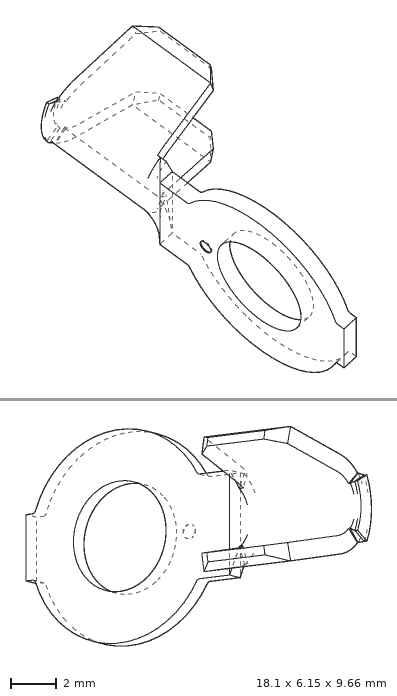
import cadquery as cq
import math


sheet = 0.83
length = 18.08

ring_radius = 4.83
hole_radius = 2.5
right_end = 5.06
left_end = right_end - length
tab_half_width = 1.5
corner_fillet = 0.18

neck_half_width = 2.37
neck_start = -5.93
pip_x = -3.2
pip_radius = 0.33
pip_depth = 0.05

bend_radius = 2.31
arm_angle = math.radians(13)
barrel_height = 6.15
coin_length = 0.78
coined_thickness = 0.42

barrel_middle = -9.89
base_half_length = 2.85
shoulder_half_length = 2.33
tip_half_length = 1.54
shoulder_height = 5.23
side_taper = (base_half_length - shoulder_half_length) / shoulder_height

neck_flare_start = -7.0
neck_flare_angle = math.radians(62)
tab_flare_start = -12.71
tab_flare_end = -12.87
tab_bend_radius = 3.25
tab_flare_angle = math.radians(43)
tab_end_angle = math.asin(tab_half_width / tab_bend_radius)


def make_ring_plate():
    """Flat ring with its neck and end tab, pierced by the stud hole."""
    plan = cq.Workplane("XZ")
    disc = plan.circle(ring_radius).extrude(-sheet)
    neck = plan.moveTo(neck_start / 2, 0).rect(-neck_start, 2 * neck_half_width).extrude(-sheet)
    tab = plan.moveTo(right_end / 2, 0).rect(right_end, 2 * tab_half_width).extrude(-sheet)

    plate = disc.union(neck).union(tab)
    neck_corner_x = -math.sqrt(ring_radius**2 - neck_half_width**2)
    tab_corner_x = math.sqrt(ring_radius**2 - tab_half_width**2)
    for corner_x, half_width in ((neck_corner_x, neck_half_width), (tab_corner_x, tab_half_width)):
        for z in (-half_width, half_width):
            corner = cq.selectors.NearestToPointSelector((corner_x, sheet / 2, z))
            plate = plate.edges("|Y").edges(corner).fillet(corner_fillet)

    hole = plan.circle(hole_radius).extrude(-sheet)
    pip = plan.moveTo(pip_x, 0).circle(pip_radius).extrude(-pip_depth)
    return plate.cut(hole).cut(pip)


def arm_point(radius, along):
    """(Y, Z) on the upper arm: distance along it from the bend, at a bend radius."""
    y = bend_radius - radius * math.sin(arm_angle) + along * math.cos(arm_angle)
    z = radius * math.cos(arm_angle) + along * math.sin(arm_angle)
    return y, z


def mirrored(point):
    return point[0], -point[1]


inner_radius = bend_radius - sheet
arm_length = (barrel_height - arm_point(inner_radius, 0)[0]) / math.cos(arm_angle)
shoulder_along = arm_length - coin_length


def make_barrel_section():
    """U-shaped section with coined arm tips, extruded over the whole length."""
    outer_bend = arm_point(bend_radius, 0)
    coin_start = arm_point(bend_radius, shoulder_along)
    outer_tip = arm_point(inner_radius + coined_thickness, arm_length)
    inner_tip = arm_point(inner_radius, arm_length)
    inner_bend = arm_point(inner_radius, 0)
    return (
        cq.Workplane("YZ", origin=(left_end, 0, 0))
        .moveTo(*mirrored(outer_bend))
        .threePointArc((0, 0), outer_bend)
        .lineTo(*coin_start)
        .lineTo(*outer_tip)
        .lineTo(*inner_tip)
        .lineTo(*inner_bend)
        .threePointArc((sheet, 0), mirrored(inner_bend))
        .lineTo(*mirrored(inner_tip))
        .lineTo(*mirrored(outer_tip))
        .lineTo(*mirrored(coin_start))
        .close()
        .extrude(length)
    )


def make_side_envelope():
    """Block bounding the barrel along X, narrower towards the tips."""
    top_half_length = base_half_length - side_taper * barrel_height
    return (
        cq.Workplane("XY", origin=(barrel_middle, 0, 0))
        .moveTo(-base_half_length, 0)
        .lineTo(-top_half_length, barrel_height)
        .lineTo(top_half_length, barrel_height)
        .lineTo(base_half_length, 0)
        .close()
        .extrude(barrel_height, both=True)
    )


def make_root_envelope(x, half_angle):
    """Wedge about the bend axis, from the barrel middle to x, that keeps a flare root."""
    half_width = bend_radius * math.tan(half_angle)
    return (
        cq.Workplane("YZ", origin=(barrel_middle, 0, 0))
        .moveTo(bend_radius, 0)
        .lineTo(0, half_width)
        .lineTo(0, -half_width)
        .close()
        .extrude(x - barrel_middle)
    )


def make_tip_corners():
    """The corners cut square through the sheet at the tips of both arms."""
    arm_plane = cq.Plane(
        origin=(barrel_middle, *arm_point(inner_radius, 0)),
        xDir=(1, 0, 0),
        normal=(0, -math.sin(arm_angle), math.cos(arm_angle)),
    )
    corners = cq.Workplane(arm_plane)
    for side in (-1, 1):
        corners = corners.polyline([
            (side * shoulder_half_length, shoulder_along),
            (side * tip_half_length, arm_length),
            (side * base_half_length, arm_length),
            (side * base_half_length, shoulder_along),
        ]).close()
    upper = corners.extrude(sheet)
    return upper.union(upper.mirror("XY"))


def make_barrel():
    """Open barrel together with the curved roots of the flares at both ends."""
    envelope = (
        make_side_envelope()
        .union(make_root_envelope(neck_flare_start, neck_flare_angle))
        .union(make_root_envelope(tab_flare_start, tab_flare_angle))
    )
    return make_barrel_section().intersect(envelope).cut(make_tip_corners())


def curved_section(x, radius, half_angle):
    """Strip of sheet across X, bent to an outer radius over plus and minus half_angle."""
    def bend_point(r):
        return radius - r * math.cos(half_angle), r * math.sin(half_angle)

    outer = bend_point(radius)
    inner = bend_point(radius - sheet)
    return (
        cq.Workplane("YZ", origin=(x, 0, 0))
        .moveTo(*mirrored(outer))
        .threePointArc((0, 0), outer)
        .lineTo(*inner)
        .threePointArc((sheet, 0), mirrored(inner))
        .close()
    )


def flat_section(x, half_width):
    """Flat strip of sheet across X."""
    return (
        cq.Workplane("YZ", origin=(x, 0, 0))
        .moveTo(0, -half_width)
        .lineTo(0, half_width)
        .lineTo(sheet, half_width)
        .lineTo(sheet, -half_width)
        .close()
    )


def loft_between(first, second):
    return cq.Workplane(cq.Solid.makeLoft([first.val(), second.val()], True))


def make_neck_flare():
    """Bent strip leaving the barrel and flattening into the neck."""
    root = curved_section(neck_flare_start, bend_radius, neck_flare_angle)
    return loft_between(root, flat_section(neck_start, neck_half_width))


def make_wire_tab():
    """Short, flatter strip past the wire side of the barrel."""
    root = curved_section(tab_flare_start, bend_radius, tab_flare_angle)
    tip = curved_section(tab_flare_end, tab_bend_radius, tab_end_angle)
    flare = loft_between(root, tip)
    return flare.union(tip.extrude(left_end - tab_flare_end))


result = make_ring_plate().union(make_neck_flare()).union(make_barrel()).union(make_wire_tab()).clean()